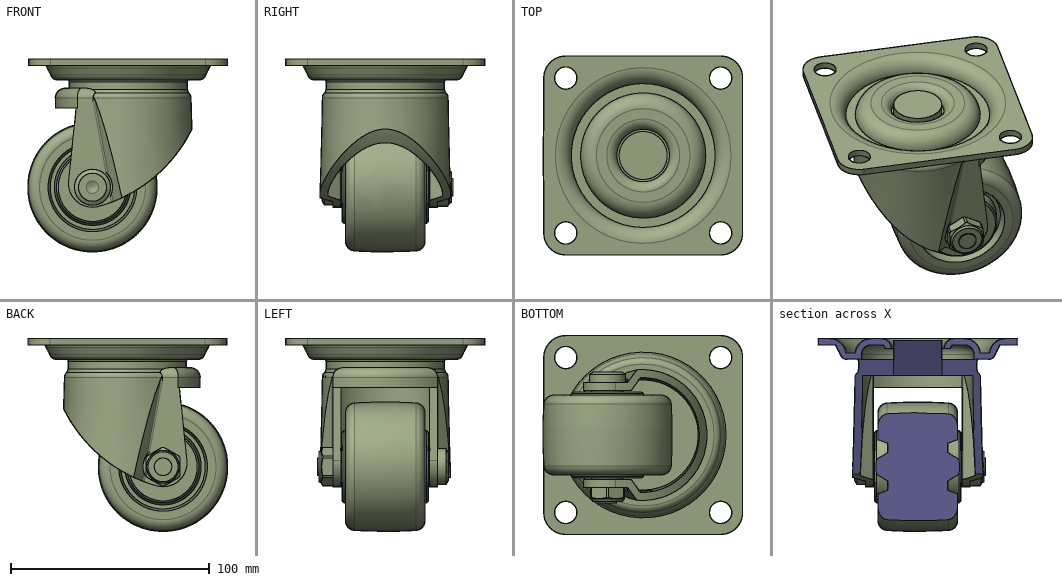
import cadquery as cq
import math


total_length = 100.5
total_height = 97.0
plate_size = 100.0
wheel_radius = 32.6
axle_x = plate_size / 2 - total_length + wheel_radius
axle_z = wheel_radius - total_height

plate_thickness = 3.3
plate_corner_radius = 11.1
mount_hole_radius = 5.5
mount_hole_pitch = 77.8
trough_outer_radius = 44.1
trough_floor_radius = 36.1
trough_depth = 7.2
dome_flat_radius = 23.5
dome_bend = 7.9
lip_bend = 5.1
plate_hole_radius = 13.2
trough_side_top = (40.8, -4.4)
trough_side_bottom = (38.9, -8.1)
trough_rim_radius = 41.6
trough_base_radius = 35.6
trough_rim_round = (41.1, -3.7)
trough_base_round = (37.7, -9.8)
plate_underside_z = -(trough_depth + plate_thickness)

king_pin_radius = 12.1
king_pin_top_z = -0.9

fork_wall = 4.0
leg_outer_y = 26.3
leg_inner_y = leg_outer_y - fork_wall
saddle_radius = 36.7
saddle_top_z = -14.7
saddle_bend = 5.0
saddle_bottom_z = -24.6
ceiling_z = saddle_top_z - fork_wall
shoulder_z = saddle_top_z - saddle_bend
neck_radius = 29.7
neck_rim_radius = 30.2
neck_rim_height = 0.9
neck_bottom_z = -15.3
shoulder_top_radius = 30.4
shoulder_top_z = -17.0
shoulder_round = (31.4, -18.2)
cheek_radius = 31.7
cheek_draft = 0.025
cheek_bottom_z = -80.4
step_x = -17.3
step_lean = 0.18
step_slant = 0.8
step_foot_radius = 1.2
leg_front_x = -25.7
leg_end_radius = 12.1
leg_end_z = axle_z + 2.0
leg_front_angle = 5.5
leg_rear_angle = 70.0
rear_edge_middle = (13.8, -58.8)
rear_edge_top = (34.2, -30.5)
head_clearance_radius = 10.0

wheel_half_width = 20.0
tread_half_width = 15.5
tread_edge_radius = 32.1
side_flat_radius = 26.6
tread_round_radius = 30.6
tread_round_y = 18.6
groove_bottom_y = 15.1
groove_outer_radius = 22.3
groove_draft = 1.1
hub_radius = 18.1
hub_face_radius = 17.2
hub_chamfer_y = 20.8
hub_half_width = 21.6

sleeve_radius = 8.0
bolt_radius = 4.4
bolt_end_y = 34.1
head_radius = 9.0
head_face_radius = 7.0
head_edge_y = 30.5
head_face_y = 31.7
dimple_radius = 3.1
dimple_depth = 1.0
nut_half_flats = 8.6
nut_corner_radius = 9.6
nut_hex_y = 31.4
nut_collar_y = 32.2
nut_collar_radius = 8.2
nut_top_y = 33.4
nut_top_radius = 7.5


def axle_sketch():
    """Plane through the axle: local X is the radius, local Y is world Y."""
    return cq.Workplane(cq.Plane(origin=(axle_x, 0, axle_z), xDir=(1, 0, 0), normal=(0, 0, 1)))


def turned_on_axle(outline):
    return outline.close().revolve(360, (0, 0, 0), (0, 1, 0))


def axle_cylinder(radius, y_start, y_end):
    plane = cq.Plane(origin=(axle_x, y_start, axle_z), xDir=(1, 0, 0), normal=(0, 1, 0))
    return cq.Workplane(plane).circle(radius).extrude(y_end - y_start)


def turned_on_swivel(outline):
    return outline.close().revolve(360, (0, 0, 0), (0, 1, 0))


def point_on_circle(center_x, center_z, radius, angle):
    """Point on a circle, with the angle in degrees from the first axis."""
    turn = math.radians(angle)
    return (center_x + radius * math.cos(turn), center_z + radius * math.sin(turn))


def make_plate():
    flat = (
        cq.Workplane("XY")
        .workplane(offset=-plate_thickness)
        .rect(plate_size, plate_size)
        .extrude(plate_thickness)
        .edges("|Z")
        .fillet(plate_corner_radius)
        .faces(">Z")
        .workplane()
        .rect(mount_hole_pitch, mount_hole_pitch, forConstruction=True)
        .vertices()
        .hole(2 * mount_hole_radius)
    )
    opening = cq.Workplane("XY").circle(trough_outer_radius).extrude(-plate_thickness)
    return flat.cut(opening).union(make_pressing())


def make_pressing():
    """Round pressing inside the flat plate: trough, dome and rolled lip, of one sheet thickness."""
    rim_bend = trough_outer_radius - trough_floor_radius
    lip_center = (plate_hole_radius + lip_bend, -lip_bend)
    dome_center = (dome_flat_radius, -dome_bend)
    rim_center = (trough_outer_radius, -rim_bend)
    lip_inner_bend = lip_bend - plate_thickness
    dome_inner_bend = dome_bend - plate_thickness
    rise = dome_bend - trough_depth
    dome_foot_radius = dome_flat_radius + math.sqrt(dome_bend**2 - rise**2)
    rim_rise = rim_bend - trough_depth
    rim_foot_radius = trough_outer_radius - math.sqrt(rim_bend**2 - rim_rise**2)
    outline = (
        cq.Workplane("XZ")
        .moveTo(plate_hole_radius, -lip_bend)
        .threePointArc(point_on_circle(*lip_center, lip_bend, 135), (lip_center[0], 0))
        .lineTo(dome_flat_radius, 0)
        .threePointArc(point_on_circle(*dome_center, dome_bend, 45), (dome_foot_radius, -trough_depth))
        .lineTo(rim_foot_radius, -trough_depth)
        .threePointArc(point_on_circle(*rim_center, rim_bend, 135), (trough_outer_radius, 0))
        .lineTo(trough_outer_radius, -plate_thickness)
        .lineTo(trough_rim_radius, -plate_thickness)
        .threePointArc(trough_rim_round, trough_side_top)
        .lineTo(*trough_side_bottom)
        .threePointArc(trough_base_round, (trough_base_radius, plate_underside_z))
        .lineTo(dome_flat_radius + dome_inner_bend, plate_underside_z)
        .lineTo(dome_flat_radius + dome_inner_bend, -dome_bend)
        .threePointArc(
            point_on_circle(*dome_center, dome_inner_bend, 45), (dome_flat_radius, -plate_thickness)
        )
        .lineTo(lip_center[0], -plate_thickness)
        .threePointArc(
            point_on_circle(*lip_center, lip_inner_bend, 135), (lip_center[0] - lip_inner_bend, -lip_bend)
        )
    )
    return turned_on_swivel(outline)


def step_cutter(side, inset):
    """Space in front of the rear cheek and outside the leg, on one side."""
    face_y = leg_outer_y - inset
    reach = 2 * total_length
    along_step = cq.Vector(step_lean, 0, -1)
    across_step = cq.Vector(step_slant, side, 0)
    normal = along_step.cross(across_step)
    if normal.x > 0:
        normal = -normal
    inset_shift = normal.normalized() * -inset
    origin = cq.Vector(step_x, side * leg_outer_y, shoulder_z) + inset_shift
    front_space = (
        cq.Workplane(cq.Plane(origin=origin, xDir=along_step, normal=normal))
        .rect(reach, reach)
        .extrude(reach)
    )
    outer_space_y = side * (face_y + reach / 2)
    outer_space = cq.Workplane("XY").box(reach, reach, reach).translate((0, outer_space_y, 0))
    foot_edge = cq.selectors.NearestToPointSelector(origin.toTuple())
    return front_space.intersect(outer_space).edges(foot_edge).fillet(step_foot_radius)


def fork_envelope(inset, top_z, cheeks):
    """Saddle, legs and rear cheeks as a solid block, shrunk by the inset."""
    half_width = leg_outer_y - inset
    front_radius = saddle_radius - inset
    corner_x = -math.sqrt(front_radius**2 - half_width**2)
    saddle = (
        cq.Workplane("XY")
        .workplane(offset=saddle_bottom_z)
        .moveTo(0, -half_width)
        .lineTo(corner_x, -half_width)
        .threePointArc((-front_radius, 0), (corner_x, half_width))
        .lineTo(0, half_width)
        .close()
        .extrude(top_z - saddle_bottom_z)
    )
    if inset == 0:
        saddle = saddle.faces(">Z").edges("<X or <Y or >Y").fillet(saddle_bend)
    legs = (
        cq.Workplane("XY")
        .workplane(offset=cheek_bottom_z)
        .moveTo(-saddle_radius / 2, 0)
        .rect(saddle_radius, 2 * half_width)
        .extrude(saddle_bottom_z - cheek_bottom_z)
    )
    for side in (-1, 1):
        cheeks = cheeks.cut(step_cutter(side, inset))
    return saddle.union(legs).union(cheeks)


def cheek_radius_at(z):
    return cheek_radius + cheek_draft * (shoulder_z - z)


def outer_cheeks():
    rim_z = plate_underside_z - neck_rim_height
    outline = (
        cq.Workplane("XZ")
        .moveTo(0, plate_underside_z)
        .lineTo(neck_rim_radius, plate_underside_z)
        .lineTo(neck_radius, rim_z)
        .lineTo(neck_radius, neck_bottom_z)
        .lineTo(shoulder_top_radius, shoulder_top_z)
        .threePointArc(shoulder_round, (cheek_radius, shoulder_z))
        .lineTo(cheek_radius_at(cheek_bottom_z), cheek_bottom_z)
        .lineTo(0, cheek_bottom_z)
    )
    return turned_on_swivel(outline)


def inner_cheeks():
    outline = (
        cq.Workplane("XZ")
        .moveTo(0, ceiling_z)
        .lineTo(cheek_radius_at(ceiling_z) - fork_wall, ceiling_z)
        .lineTo(cheek_radius_at(cheek_bottom_z) - fork_wall, cheek_bottom_z)
        .lineTo(0, cheek_bottom_z)
    )
    return turned_on_swivel(outline)


def fork_side_outline():
    """Side shape of the fork, as a prism across its whole width."""
    slope = math.tan(math.radians(leg_front_angle))
    front_top_x = leg_front_x - slope * (shoulder_z - saddle_bottom_z)
    arc_start = point_on_circle(axle_x, leg_end_z, leg_end_radius, 180 - leg_front_angle)
    arc_middle = point_on_circle(axle_x, leg_end_z, leg_end_radius, 225)
    arc_end = point_on_circle(axle_x, leg_end_z, leg_end_radius, -leg_rear_angle)
    return (
        cq.Workplane("XZ")
        .moveTo(-plate_size / 2, 0)
        .lineTo(-plate_size / 2, saddle_bottom_z)
        .lineTo(front_top_x, saddle_bottom_z)
        .lineTo(*arc_start)
        .threePointArc(arc_middle, arc_end)
        .threePointArc(rear_edge_middle, rear_edge_top)
        .lineTo(rear_edge_top[0], 0)
        .close()
        .extrude(total_length, both=True)
    )


def make_fork():
    fork = fork_envelope(0, saddle_top_z, outer_cheeks())
    fork = fork.cut(fork_envelope(fork_wall, ceiling_z, inner_cheeks()))
    fork = fork.intersect(fork_side_outline())
    for side in (-1, 1):
        fork = fork.cut(axle_cylinder(head_clearance_radius, side * leg_outer_y, side * plate_size / 2))
    fork = fork.cut(axle_cylinder(bolt_radius, -leg_outer_y, leg_outer_y))
    return fork.cut(make_king_pin())


def make_king_pin():
    return (
        cq.Workplane("XY")
        .workplane(offset=ceiling_z)
        .circle(king_pin_radius)
        .extrude(king_pin_top_z - ceiling_z)
    )


def make_wheel():
    hub_foot_radius = hub_radius + groove_draft
    groove_foot_radius = groove_outer_radius - groove_draft
    outline = (
        axle_sketch()
        .moveTo(sleeve_radius, -hub_half_width)
        .lineTo(hub_face_radius, -hub_half_width)
        .lineTo(hub_radius, -hub_chamfer_y)
        .lineTo(hub_foot_radius, -groove_bottom_y)
        .lineTo(groove_foot_radius, -groove_bottom_y)
        .lineTo(groove_outer_radius, -wheel_half_width)
        .lineTo(side_flat_radius, -wheel_half_width)
        .threePointArc(
            (tread_round_radius, -tread_round_y), (tread_edge_radius, -tread_half_width)
        )
        .threePointArc((wheel_radius, 0), (tread_edge_radius, tread_half_width))
        .threePointArc(
            (tread_round_radius, tread_round_y), (side_flat_radius, wheel_half_width)
        )
        .lineTo(groove_outer_radius, wheel_half_width)
        .lineTo(groove_foot_radius, groove_bottom_y)
        .lineTo(hub_foot_radius, groove_bottom_y)
        .lineTo(hub_radius, hub_chamfer_y)
        .lineTo(hub_face_radius, hub_half_width)
        .lineTo(sleeve_radius, hub_half_width)
    )
    return turned_on_axle(outline)


def make_sleeve():
    tube = axle_cylinder(sleeve_radius, -leg_inner_y, leg_inner_y)
    return tube.cut(axle_cylinder(bolt_radius, -leg_inner_y, leg_inner_y))


def make_bolt():
    outline = (
        axle_sketch()
        .moveTo(0, dimple_depth - head_face_y)
        .lineTo(dimple_radius, -head_face_y)
        .lineTo(head_face_radius, -head_face_y)
        .lineTo(head_radius, -head_edge_y)
        .lineTo(head_radius, -leg_outer_y)
        .lineTo(bolt_radius, -leg_outer_y)
        .lineTo(bolt_radius, bolt_end_y)
        .lineTo(0, bolt_end_y)
    )
    return turned_on_axle(outline)


def make_nut():
    hexagon_plane = cq.Plane(origin=(axle_x, leg_outer_y, axle_z), xDir=(1, 0, 0), normal=(0, 1, 0))
    hexagon = (
        cq.Workplane(hexagon_plane)
        .polygon(6, 2 * nut_half_flats, circumscribed=True)
        .extrude(nut_top_y - leg_outer_y)
    )
    outline = (
        axle_sketch()
        .moveTo(bolt_radius, leg_outer_y)
        .lineTo(nut_corner_radius, leg_outer_y)
        .lineTo(nut_corner_radius, nut_hex_y)
        .lineTo(nut_collar_radius, nut_collar_y)
        .lineTo(nut_top_radius, nut_top_y)
        .lineTo(bolt_radius, nut_top_y)
    )
    return hexagon.intersect(turned_on_axle(outline))


plate = make_plate()
fork = make_fork()
king_pin = make_king_pin()
wheel = make_wheel()
sleeve = make_sleeve()
bolt = make_bolt()
nut = make_nut()

bodies = [plate, fork, king_pin, wheel, sleeve, bolt, nut]
result = cq.Compound.makeCompound([body.solids().val() for body in bodies])